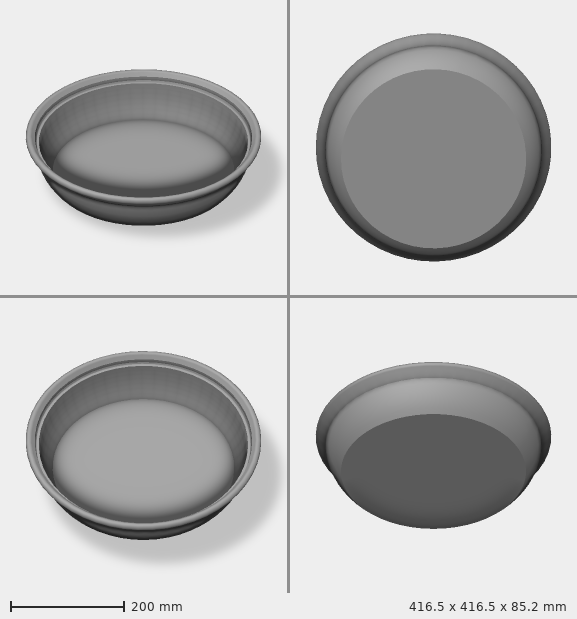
import cadquery as cq
import math

outer_diameter = 416.54
height = 85.16
bead_radius = 6.05
flare_angle = 45.0
lip_diameter = 384.3
ledge_height = 68.28
ledge_inner_radius = 184.92
ledge_chamfer = 2.13
floor_thickness = 6.91
bowl_inner_arc_radius = 89.5
bowl_wall_thickness = 7.05

flare_slope = math.tan(math.radians(flare_angle))
bead_center_radius = outer_diameter / 2 - bead_radius
bead_center_height = height - bead_radius
bead_offset_radial = bead_radius * math.sin(math.radians(flare_angle))
bead_offset_vertical = bead_radius * math.cos(math.radians(flare_angle))
bead_outer_end = (bead_center_radius + bead_offset_radial, bead_center_height - bead_offset_vertical)
bead_middle = (bead_center_radius + bead_offset_vertical, bead_center_height + bead_offset_radial)
bead_inner_end = (bead_center_radius - bead_offset_radial, bead_center_height + bead_offset_vertical)

lip_radius = lip_diameter / 2
lip_height = bead_inner_end[1] - (bead_inner_end[0] - lip_radius) * flare_slope

bowl_arc_center_radius = ledge_inner_radius - bowl_inner_arc_radius
bowl_arc_center_height = ledge_height
bowl_outer_arc_radius = bowl_inner_arc_radius + bowl_wall_thickness

flare_along = (math.cos(math.radians(flare_angle)), math.sin(math.radians(flare_angle)))
bead_end_from_center = (bead_outer_end[0] - bowl_arc_center_radius, bead_outer_end[1] - bowl_arc_center_height)
bead_end_along = bead_end_from_center[0] * flare_along[0] + bead_end_from_center[1] * flare_along[1]
bead_end_across = bead_end_from_center[0] * flare_along[1] - bead_end_from_center[1] * flare_along[0]
flare_length = bead_end_along - math.sqrt(bowl_outer_arc_radius**2 - bead_end_across**2)
neck_radius = bead_outer_end[0] - flare_length * flare_along[0]
neck_height = bead_outer_end[1] - flare_length * flare_along[1]


def angle_below_center(z, arc_radius):
    """Angle below horizontal at which a bowl wall arc passes through height z."""
    return math.asin((bowl_arc_center_height - z) / arc_radius)


def bowl_arc_point(arc_radius, angle):
    """Radius and height of the point on a bowl wall arc at an angle below horizontal."""
    return (
        bowl_arc_center_radius + arc_radius * math.cos(angle),
        bowl_arc_center_height - arc_radius * math.sin(angle),
    )


def bowl_profile():
    """Half section in the XZ plane, radius along X and height along Z."""
    foot_angle = angle_below_center(0, bowl_outer_arc_radius)
    neck_angle = angle_below_center(neck_height, bowl_outer_arc_radius)
    floor_angle = angle_below_center(floor_thickness, bowl_inner_arc_radius)
    outer_wall_middle = bowl_arc_point(bowl_outer_arc_radius, (foot_angle + neck_angle) / 2)
    inner_wall_middle = bowl_arc_point(bowl_inner_arc_radius, floor_angle / 2)
    return (
        cq.Workplane("XZ")
        .moveTo(0, 0)
        .lineTo(*bowl_arc_point(bowl_outer_arc_radius, foot_angle))
        .threePointArc(outer_wall_middle, (neck_radius, neck_height))
        .lineTo(*bead_outer_end)
        .threePointArc(bead_middle, bead_inner_end)
        .lineTo(lip_radius, lip_height)
        .lineTo(lip_radius, ledge_height + ledge_chamfer)
        .lineTo(lip_radius - ledge_chamfer, ledge_height)
        .lineTo(ledge_inner_radius, ledge_height)
        .threePointArc(inner_wall_middle, bowl_arc_point(bowl_inner_arc_radius, floor_angle))
        .lineTo(0, floor_thickness)
        .close()
    )


result = bowl_profile().revolve(360, (0, 0, 0), (0, 1, 0))